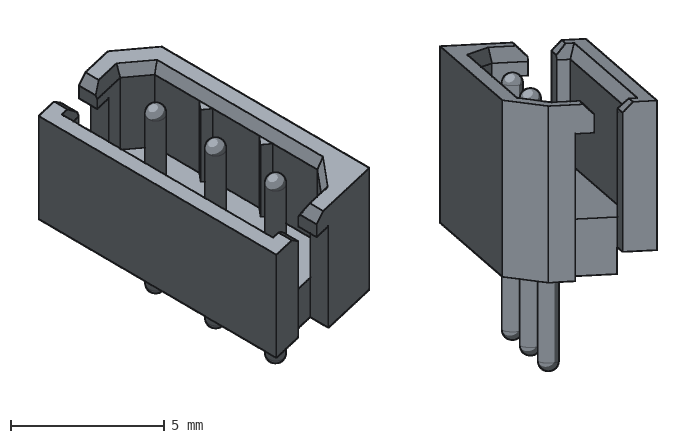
import cadquery as cq


length = 9.9
height = 5.9
back_y = 1.84
front_y = -3.06
corner_chamfer = 1.25
front_wall_bottom = 0.9

floor_z = 1.91
cavity_half_length = 4.19
cavity_back_y = 1.08
cavity_front_y = -2.36
cavity_corner = 0.8
mouth_depth = 0.495
mouth_flare = 0.21
mouth_front_flare = 0.18
mouth_corner = 0.94
mouth_z = height - mouth_depth

slot_front_y = -1.9
slot_back_y = -0.32
hook_tip_y = -0.94
hook_bottom = 4.93
slot_chamfer = 0.35

pin_count = 3
pin_pitch = 2.49
pin_diameter = 0.7
pin_bottom = -3.49
pin_top = 5.44
rib_depth = 0.29

pin_radius = pin_diameter / 2
pin_places = [(i - (pin_count - 1) / 2) * pin_pitch for i in range(pin_count)]
rib_places = [x + pin_pitch / 2 for x in pin_places[:-1]]


def box_between(x0, x1, y0, y1, z0, z1):
    """Box given by its limits along each axis."""
    return cq.Workplane("XY").box(x1 - x0, y1 - y0, z1 - z0, centered=False).translate((x0, y0, z0))


def outer_block():
    """Block with one chamfered corner, cut away under the front wall."""
    half = length / 2
    block = box_between(-half, half, front_y, back_y, 0, height)
    block = block.edges("|Z and <X and >Y").chamfer(corner_chamfer)
    return block.cut(box_between(-half, half, front_y, slot_front_y, 0, front_wall_bottom))


def cavity_outline(z, half_length, y_front, y_back, corner):
    """Rectangle with both back corners cut at 45 degrees."""
    return cq.Wire.makePolygon(
        [
            cq.Vector(-half_length, y_front, z),
            cq.Vector(half_length, y_front, z),
            cq.Vector(half_length, y_back - corner, z),
            cq.Vector(half_length - corner, y_back, z),
            cq.Vector(-half_length + corner, y_back, z),
            cq.Vector(-half_length, y_back - corner, z),
        ],
        close=True,
    )


def cavity():
    """Straight cavity below a mouth that widens towards the top."""
    inner = (cavity_half_length, cavity_front_y, cavity_back_y, cavity_corner)
    mouth = (
        cavity_half_length + mouth_flare,
        cavity_front_y - mouth_front_flare,
        cavity_back_y + mouth_flare,
        mouth_corner,
    )
    straight = cq.Solid.extrudeLinear(
        cavity_outline(floor_z, *inner), [], cq.Vector(0, 0, mouth_z - floor_z)
    )
    flared = cq.Solid.makeLoft([cavity_outline(mouth_z, *inner), cavity_outline(height, *mouth)], True)
    return cq.Workplane(straight).union(cq.Workplane(flared))


def end_slots():
    """Hooked slots through both end walls, leaving the base between them."""
    profile = [
        (slot_front_y, 0),
        (slot_back_y, 0),
        (slot_back_y, hook_bottom),
        (hook_tip_y, hook_bottom),
        (hook_tip_y, height - slot_chamfer),
        (hook_tip_y + slot_chamfer, height),
        (slot_front_y - slot_chamfer, height),
        (slot_front_y, height - slot_chamfer),
    ]
    through = cq.Workplane("YZ").polyline(profile).close().extrude(length / 2, both=True)
    base = box_between(
        -cavity_half_length, cavity_half_length, slot_front_y, slot_back_y, 0, floor_z
    )
    return through.cut(base)


def rib(x):
    """Triangular rib on the back wall, from the floor up to the flared mouth."""
    points = [
        (x - rib_depth, cavity_back_y),
        (x, cavity_back_y - rib_depth),
        (x + rib_depth, cavity_back_y),
    ]
    return cq.Workplane("XY").workplane(offset=floor_z).polyline(points).close().extrude(mouth_z - floor_z)


def make_pin(x):
    """Round pin with a hemispherical dome at each end."""
    pin = cq.Workplane("XZ").moveTo(0, pin_bottom)
    bottom_centre = pin_bottom + pin_radius
    top_centre = pin_top - pin_radius
    pin = pin.radiusArc((pin_radius, bottom_centre), -pin_radius)
    pin = pin.lineTo(pin_radius, top_centre)
    pin = pin.radiusArc((0, pin_top), -pin_radius)
    return pin.close().revolve(360, (0, 0), (0, 1)).translate((x, 0, 0))


def make_housing():
    housing = outer_block().cut(cavity()).cut(end_slots())
    for x in rib_places:
        housing = housing.union(rib(x))
    for x in pin_places:
        pin_hole = cq.Workplane("XY").center(x, 0).circle(pin_radius).extrude(floor_z)
        housing = housing.cut(pin_hole)
    return housing.solids()


housing = make_housing()
pins = [make_pin(x) for x in pin_places]

result = cq.Compound.makeCompound([housing.val(), *[pin.val() for pin in pins]])